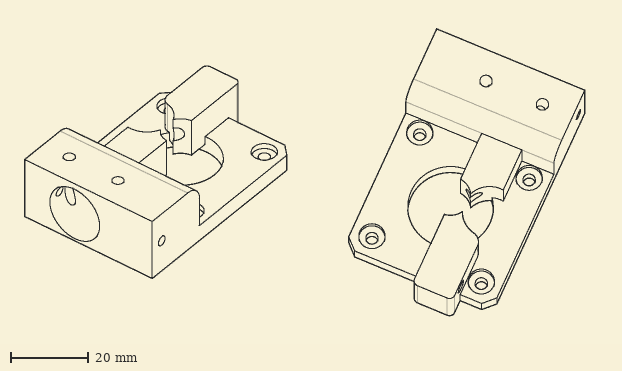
import cadquery as cq

width = 42.0
plate_length = 60.0
plate_thickness = 5.0
corner_chamfer = 3.0

axis_x = width / 2
axis_y = 39.0
motor_bore_diameter = 22.2
boss_clearance = 2.5
screw_spacing = 31.0
screw_diameter = 3.2
screw_head_diameter = 6.8
screw_head_depth = 1.6

block_length = 20.0
block_height = 19.0
block_round = 5.0
bore_x = 16.5
bore_z = 9.0
bore_diameter = 16.4
bore_depth = 15.0
clamp_spacing = 16.0
clamp_y = 8.0
clamp_diameter = 3.2
block_pin_y = 4.0
block_pin_diameter = 2.8
pin_z = 10.0

arm_left = 9.1
arm_right = 20.5
arm_end = 65.0
arm_height = 14.0
arm_end_round = 1.5
idler_x = 9.95
idler_radius = 7.0
drive_radius = 5.25
jaw_round = 3.0
channel_diameter = 4.2
channel_length = 20.0
arm_pin_y = 59.5
arm_pin_diameter = 3.6
arm_pin_depth = 5.0


def box(x_min, x_max, y_min, y_max, height):
    """Box standing on Z = 0."""
    size_x = x_max - x_min
    size_y = y_max - y_min
    return cq.Workplane("XY").box(size_x, size_y, height, centered=False).translate((x_min, y_min, 0))


def rod(start, diameter, length, direction):
    """Cylinder from a start point along a direction."""
    return cq.Workplane(
        cq.Solid.makeCylinder(diameter / 2, length, cq.Vector(*start), cq.Vector(*direction))
    )


def make_plate():
    plate = box(0, width, 0, plate_length, plate_thickness)
    plate = plate.edges("|Z and >Y").chamfer(corner_chamfer)
    plate = plate.cut(rod((axis_x, axis_y, 0), motor_bore_diameter, plate_thickness, (0, 0, 1)))
    return (
        plate.faces(">Z")
        .workplane(origin=(axis_x, axis_y, plate_thickness))
        .rarray(screw_spacing, screw_spacing, 2, 2)
        .cboreHole(screw_diameter, screw_head_diameter, screw_head_depth)
    )


def make_block():
    block = box(0, width, 0, block_length, block_height)
    return block.edges("|X and >Y and >Z").fillet(block_round)


def make_arm():
    arm = box(arm_left, arm_right, block_length, arm_end, arm_height)
    arm = arm.edges("|Z and >Y").fillet(arm_end_round)
    for wheel_x, radius in ((idler_x, idler_radius), (axis_x, drive_radius)):
        arm = arm.cut(rod((wheel_x, axis_y, 0), 2 * radius, arm_height, (0, 0, 1)))

    corner = cq.selectors.BoxSelector(
        (arm_left - 0.65, axis_y, 0), (arm_left + 0.65, axis_y + 2 * idler_radius, arm_height)
    )
    arm = arm.edges("|Z").edges(corner).fillet(jaw_round)

    arm = arm.cut(rod((axis_x, axis_y, 0), motor_bore_diameter, boss_clearance, (0, 0, 1)))

    channel_start = (bore_x, axis_y - channel_length / 2, bore_z)
    arm = arm.cut(rod(channel_start, channel_diameter, channel_length, (0, 1, 0)))
    return arm.cut(rod((arm_left, arm_pin_y, pin_z), arm_pin_diameter, arm_pin_depth, (1, 0, 0)))


def cut_block_holes(body):
    body = body.cut(rod((bore_x, 0, bore_z), bore_diameter, bore_depth, (0, 1, 0)))
    for side in (-1, 1):
        clamp_x = bore_x + side * clamp_spacing / 2
        body = body.cut(rod((clamp_x, clamp_y, 0), clamp_diameter, block_height, (0, 0, 1)))
    return body.cut(rod((0, block_pin_y, pin_z), block_pin_diameter, width, (1, 0, 0)))


result = cut_block_holes(make_plate().union(make_block()).union(make_arm()))